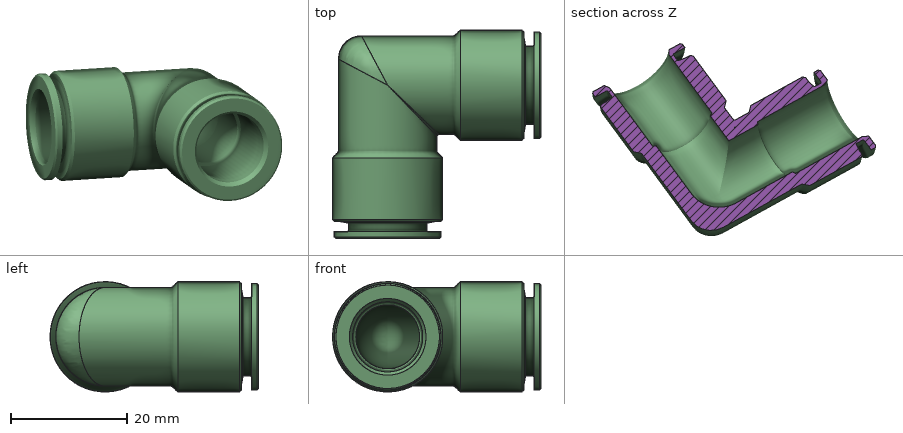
import cadquery as cq
import math

arm_radius = 8.5
arm_length = 26.4
outer_bend_radius = 4.0
inner_bend_radius = 0.3

collar_radius = 9.5
collar_base = 11.5
collar_base_fillet = 0.5
collar_end = 23.5
collar_end_chamfer = 0.4

cone_radius = 8.1
cone_height = 0.25
neck_radius = 6.75
neck_fillet = 0.2
flange_radius = 9.2
flange_thickness = 1.2
flange_chamfer = 0.3

tube_bore_radius = 6.05
mouth_radius = 6.6
mouth_depth = 0.9
tube_stop = collar_base
step_depth = 0.3
passage_radius = 5.5

bend_steps_along = 24
bend_steps_across = 8
bend_tolerance = 1e-4

mitre_normal = (1, 1, 0)


def with_twin(arm):
    """Join a shape on the +X arm with its mirror image on the -Y arm."""
    return arm.union(arm.mirror(mitre_normal))


def bend_point(side, ball_radius, angle, fraction):
    """Point on the surface left by a ball rolling along a mitre edge, touching both arms.

    side is +1 for the convex corner at (-X, +Y) and -1 for the concave corner at (+X, -Y).
    ball_radius is positive for a ball inside the arms and negative for one outside them.
    angle runs from the bottom (-90 deg) to the top (+90 deg) of the edge, and
    fraction runs from the contact with the X arm (0) to the contact with the Y arm (1).
    """
    across = side * math.cos(angle)
    up = math.sin(angle)
    ball_centre = cq.Vector(-across, across, up) * (arm_radius - ball_radius)
    x_arm_normal = cq.Vector(0, across, up)
    y_arm_normal = cq.Vector(-across, 0, up)
    turn = math.acos(min(1.0, up**2))
    if math.isclose(turn, 0, abs_tol=1e-9):
        normal = x_arm_normal
    else:
        x_share = math.sin((1 - fraction) * turn) / math.sin(turn)
        y_share = math.sin(fraction * turn) / math.sin(turn)
        normal = x_arm_normal * x_share + y_arm_normal * y_share
    return ball_centre + normal * ball_radius


def bend_wedge(side, ball_radius):
    """Wedge between the two arms: a rolling-ball surface closed by two planes through the Z axis."""
    points = [
        [
            bend_point(side, ball_radius, math.pi * (i / bend_steps_along - 0.5), j / bend_steps_across)
            for j in range(bend_steps_across + 1)
        ]
        for i in range(bend_steps_along + 1)
    ]
    surface = cq.Face.makeSplineApprox(points, tol=bend_tolerance, minDeg=3, maxDeg=8)
    axis = cq.Edge.makeLine(cq.Vector(0, 0, -arm_radius), cq.Vector(0, 0, arm_radius))
    flat_sides = [
        cq.Face.makeFromWires(cq.Wire.assembleEdges([edge, axis])) for edge in surface.Edges()
    ]
    shell = cq.Shell.makeShell([surface] + flat_sides)
    return cq.Workplane(cq.Solid.makeSolid(shell))


def turned_arm():
    """Solid of revolution about X: arm, collar, neck and flange, running past the mitre."""
    shoulder_angle = math.radians(45)
    fillet_setback = collar_base_fillet * math.tan(shoulder_angle / 2)
    fillet_rise = fillet_setback * math.sin(shoulder_angle)
    shoulder_height = collar_radius - arm_radius
    flange_start = arm_length - flange_thickness
    return (
        cq.Workplane("XY")
        .moveTo(-arm_radius, 0)
        .lineTo(-arm_radius, arm_radius)
        .lineTo(collar_base - fillet_setback, arm_radius)
        .radiusArc((collar_base + fillet_rise, arm_radius + fillet_rise), -collar_base_fillet)
        .lineTo(collar_base + shoulder_height, collar_radius)
        .lineTo(collar_end - collar_end_chamfer, collar_radius)
        .lineTo(collar_end, collar_radius - collar_end_chamfer)
        .lineTo(collar_end, cone_radius)
        .lineTo(collar_end + cone_height, neck_radius)
        .lineTo(flange_start - neck_fillet, neck_radius)
        .radiusArc((flange_start, neck_radius + neck_fillet), -neck_fillet)
        .lineTo(flange_start, flange_radius)
        .lineTo(arm_length - flange_chamfer, flange_radius)
        .lineTo(arm_length, flange_radius - flange_chamfer)
        .lineTo(arm_length, 0)
        .close()
        .revolve(360, (0, 0, 0), (1, 0, 0))
    )


def mitred_arm():
    """The +X arm, trimmed to the two planes where the bend wedges take over."""
    far = 2 * arm_length
    outer_slope = (arm_radius - outer_bend_radius) / arm_radius
    inner_slope = arm_radius / (arm_radius + inner_bend_radius)
    keep = (
        cq.Workplane("XY")
        .polyline([(0, 0), (far, -far * inner_slope), (far, far), (-far * outer_slope, far)])
        .close()
        .extrude(far, both=True)
    )
    return turned_arm().intersect(keep)


def arm_bore():
    """Bore of the +X arm: passage, conical step, tube bore and flared mouth."""
    return (
        cq.Workplane("XY")
        .polyline(
            [
                (0, 0),
                (0, passage_radius),
                (tube_stop, passage_radius),
                (tube_stop + step_depth, tube_bore_radius),
                (arm_length - mouth_depth, tube_bore_radius),
                (arm_length, mouth_radius),
                (arm_length, 0),
            ]
        )
        .close()
        .revolve(360, (0, 0, 0), (1, 0, 0))
    )


outer_bend = bend_wedge(1, outer_bend_radius)
inner_bend = bend_wedge(-1, -inner_bend_radius)
body = with_twin(mitred_arm()).union(outer_bend).union(inner_bend)

bore_corner = cq.Workplane("XY").sphere(passage_radius)
bores = with_twin(arm_bore()).union(bore_corner)

result = body.cut(bores)